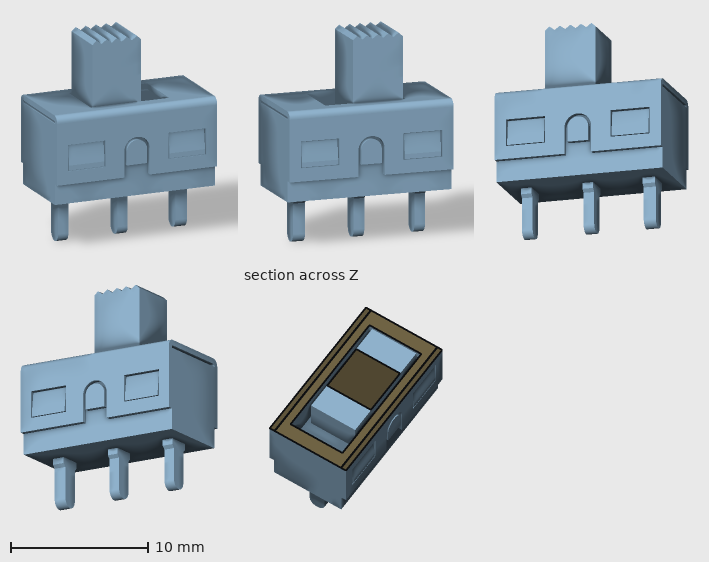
import cadquery as cq


LENGTH = 12.7
COVER_WIDTH = 6.7
SHEET = 0.42
HOUSING_WIDTH = COVER_WIDTH - 2 * SHEET
HOUSING_HEIGHT = 6.18

COVER_TOP = 6.8
COVER_BOTTOM = 1.58
BEND_RADIUS = 0.53
SLOT_WIDTH = 4.03
SLOT_LENGTH = 6.23
NOTCH_WIDTH = 2.04
NOTCH_CENTRE_Z = 3.54
WINDOW_LENGTH = 3.0
WINDOW_BOTTOM = 2.56
WINDOW_HEIGHT = 2.01
WINDOW_OFFSET = 3.99

CATCH_CLEARANCE = 0.1
CATCH_BOTTOM_CLEARANCE = 0.06
CATCH_LENGTH = WINDOW_LENGTH - 2 * CATCH_CLEARANCE
CATCH_BOTTOM = WINDOW_BOTTOM + CATCH_BOTTOM_CLEARANCE
CATCH_TOP = WINDOW_BOTTOM + WINDOW_HEIGHT - CATCH_CLEARANCE
CATCH_RAMP_START = 3.0
CATCH_TOP_DEPTH = 0.22
BOSS_WIDTH = 1.59
BOSS_BOTTOM = 2.47

SLIDER_WIDTH = 3.86
SLIDER_TOP = 11.79
SLIDER_CENTRE_Y = -1.0
KNOB_LENGTH = 3.86
TOOTH_COUNT = 5
TOOTH_PITCH = 0.8
TOOTH_HEIGHT = 0.3
FOOT_LENGTH = 8.03
FOOT_TOP = 5.45
FOOT_THICKNESS = 2.32

CAVITY_WIDTH = 4.51
TRAVEL_CLEARANCE = 0.15
CAVITY_LENGTH = FOOT_LENGTH + 2 * abs(SLIDER_CENTRE_Y) + 2 * TRAVEL_CLEARANCE
CAVITY_FLOOR = FOOT_TOP - FOOT_THICKNESS

TERMINAL_OUTER_Y = 5.11
TERMINAL_THICKNESS = 0.82
THICK_TERMINAL_THICKNESS = 0.93
TERMINAL_LENGTH = 3.66
SHOULDER_WIDTH = 1.78
BLADE_WIDTH = 1.3
SHOULDER_HEIGHT = 0.45
SHOULDER_TAPER = (SHOULDER_WIDTH - BLADE_WIDTH) / 2


def arch(width, bottom, centre_z, x_start, depth):
    """Prism along +X with a flat bottom, straight sides and a semicircular top."""
    half = width / 2
    return (
        cq.Workplane("YZ", origin=(x_start, 0, 0))
        .moveTo(-half, bottom)
        .lineTo(half, bottom)
        .lineTo(half, centre_z)
        .threePointArc((0, centre_z + half), (-half, centre_z))
        .close()
        .extrude(depth)
    )


def make_catch(centre_y):
    """Catch on the -X side, flush with the cover at the bottom and ramping inward above."""
    wall = -HOUSING_WIDTH / 2
    return (
        cq.Workplane("XZ", origin=(0, centre_y + CATCH_LENGTH / 2, 0))
        .moveTo(wall, CATCH_BOTTOM)
        .lineTo(wall - SHEET, CATCH_BOTTOM)
        .lineTo(wall - SHEET, CATCH_RAMP_START)
        .lineTo(wall - CATCH_TOP_DEPTH, CATCH_TOP)
        .lineTo(wall, CATCH_TOP)
        .close()
        .extrude(CATCH_LENGTH)
    )


def make_housing():
    body = cq.Workplane("XY").box(HOUSING_WIDTH, LENGTH, HOUSING_HEIGHT, centered=(True, True, False))
    cavity = (
        cq.Workplane("XY", origin=(0, 0, CAVITY_FLOOR))
        .rect(CAVITY_WIDTH, CAVITY_LENGTH)
        .extrude(HOUSING_HEIGHT - CAVITY_FLOOR)
    )
    body = body.cut(cavity)
    side_parts = [
        make_catch(-WINDOW_OFFSET),
        make_catch(WINDOW_OFFSET),
        arch(BOSS_WIDTH, BOSS_BOTTOM, NOTCH_CENTRE_Z, -COVER_WIDTH / 2, SHEET),
    ]
    for part in side_parts:
        body = body.union(part).union(part.mirror("YZ"))
    return body


def make_cover():
    outer = (
        cq.Workplane("XY", origin=(0, 0, COVER_BOTTOM))
        .box(COVER_WIDTH, LENGTH, COVER_TOP - COVER_BOTTOM, centered=(True, True, False))
        .edges("|Y and >Z")
        .fillet(BEND_RADIUS)
    )
    inner = (
        cq.Workplane("XY", origin=(0, 0, COVER_BOTTOM))
        .box(HOUSING_WIDTH, LENGTH, COVER_TOP - SHEET - COVER_BOTTOM, centered=(True, True, False))
        .edges("|Y and >Z")
        .fillet(BEND_RADIUS - SHEET)
    )
    slot = (
        cq.Workplane("XY", origin=(0, 0, COVER_TOP - SHEET))
        .rect(SLOT_WIDTH, SLOT_LENGTH)
        .extrude(SHEET)
    )
    notches = arch(NOTCH_WIDTH, COVER_BOTTOM, NOTCH_CENTRE_Z, -COVER_WIDTH / 2, COVER_WIDTH)
    windows = (
        cq.Workplane("XY", origin=(0, 0, WINDOW_BOTTOM))
        .pushPoints([(0, -WINDOW_OFFSET), (0, WINDOW_OFFSET)])
        .rect(COVER_WIDTH, WINDOW_LENGTH)
        .extrude(WINDOW_HEIGHT)
    )
    return outer.cut(inner).cut(slot).cut(notches).cut(windows)


def make_slider():
    """Knob with a row of grip teeth on a longer foot, as one profile extruded along X."""
    valley_z = SLIDER_TOP - TOOTH_HEIGHT
    knob_start = SLIDER_CENTRE_Y - KNOB_LENGTH / 2
    knob_end = SLIDER_CENTRE_Y + KNOB_LENGTH / 2
    foot_start = SLIDER_CENTRE_Y - FOOT_LENGTH / 2
    foot_end = SLIDER_CENTRE_Y + FOOT_LENGTH / 2
    first_peak = SLIDER_CENTRE_Y - TOOTH_PITCH * (TOOTH_COUNT - 1) / 2

    teeth = []
    for i in range(TOOTH_COUNT):
        peak_y = first_peak + i * TOOTH_PITCH
        if i > 0:
            teeth.append((peak_y - TOOTH_PITCH / 2, valley_z))
        teeth.append((peak_y, SLIDER_TOP))

    outline = [
        (foot_end, CAVITY_FLOOR),
        (foot_start, CAVITY_FLOOR),
        (foot_start, FOOT_TOP),
        (knob_start, FOOT_TOP),
        (knob_start, valley_z),
        *teeth,
        (knob_end, valley_z),
        (knob_end, FOOT_TOP),
        (foot_end, FOOT_TOP),
    ]
    return (
        cq.Workplane("YZ", origin=(-SLIDER_WIDTH / 2, 0, 0))
        .polyline(outline)
        .close()
        .extrude(SLIDER_WIDTH)
    )


def make_terminal(centre_y, thickness):
    """Flat blade below the housing: tapered shoulder at the top, round tip at the bottom."""
    shoulder = SHOULDER_WIDTH / 2
    blade = BLADE_WIDTH / 2
    taper_end = -SHOULDER_HEIGHT - SHOULDER_TAPER
    tip_centre = blade - TERMINAL_LENGTH
    return (
        cq.Workplane("XZ", origin=(0, centre_y + thickness / 2, 0))
        .moveTo(-shoulder, 0)
        .lineTo(-shoulder, -SHOULDER_HEIGHT)
        .lineTo(-blade, taper_end)
        .lineTo(-blade, tip_centre)
        .threePointArc((0, -TERMINAL_LENGTH), (blade, tip_centre))
        .lineTo(blade, taper_end)
        .lineTo(shoulder, -SHOULDER_HEIGHT)
        .lineTo(shoulder, 0)
        .close()
        .extrude(thickness)
    )


TERMINALS = [
    (TERMINAL_THICKNESS / 2 - TERMINAL_OUTER_Y, TERMINAL_THICKNESS),
    (0, TERMINAL_THICKNESS),
    (TERMINAL_OUTER_Y - THICK_TERMINAL_THICKNESS / 2, THICK_TERMINAL_THICKNESS),
]

housing = make_housing()
cover = make_cover()
slider = make_slider()
terminals = [make_terminal(centre_y, thickness) for centre_y, thickness in TERMINALS]

result = cq.Compound.makeCompound(
    [housing.val(), cover.val(), slider.val(), *[terminal.val() for terminal in terminals]]
)